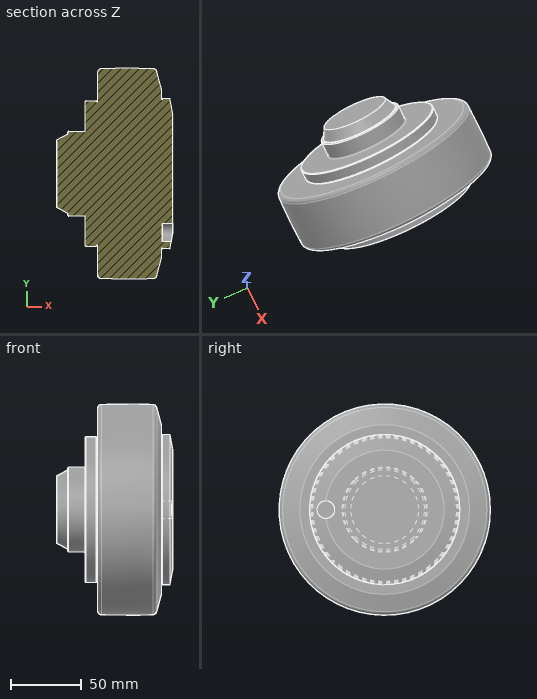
import cadquery as cq

cone_end = 7.7
flange_start = 20.0
rim_start = 28.8
rim_corner_end = 70.0
rim_end = 73.9
cap_cone_start = 79.9
overall_length = 82.0

shaft_radius = 60.0 / 2
cone_tip_radius = 23.8
cone_base_radius = 28.0
shaft_edge_break = 0.7
shaft_root_fillet = 0.5

neck_width = 0.3

flange_radius = 103.0 / 2
flange_chamfer = 0.6
flange_neck_radius = 101.2 / 2

crown_radius = 74.5
rim_edge_radius = 74.0
rim_face_radius = 59.7
rim_fillet = 3.0

cap_radius = 106.0 / 2
cap_face_radius = 41.9
cap_chamfer = 0.5
cap_neck_radius = 103.5 / 2

hole_diameter = 12.4
hole_offset = 41.4
hole_depth = 7.5


def revolve_about_x(profile):
    """Close a half profile drawn in XY and turn it about the X axis."""
    return profile.close().revolve(360, (0, 0, 0), (1, 0, 0))


def make_shaft():
    """Shaft with a conical tip, a broken shoulder edge and a filleted root."""
    return revolve_about_x(
        cq.Workplane("XY")
        .moveTo(0, 0)
        .lineTo(0, cone_tip_radius)
        .lineTo(cone_end, cone_base_radius)
        .lineTo(cone_end, shaft_radius - shaft_edge_break)
        .lineTo(cone_end + shaft_edge_break, shaft_radius)
        .lineTo(flange_start - shaft_root_fillet, shaft_radius)
        .tangentArcPoint((flange_start, shaft_radius + shaft_root_fillet), relative=False)
        .lineTo(flange_start, 0)
    )


def make_flange():
    """Disc with both edges chamfered, joined to the rim by a narrow neck."""
    flange_width = rim_start - neck_width - flange_start
    return (
        cq.Workplane("YZ", origin=(flange_start, 0, 0))
        .circle(flange_radius)
        .extrude(flange_width)
        .faces("<X or >X")
        .edges()
        .chamfer(flange_chamfer)
        .faces(">X")
        .workplane()
        .circle(flange_neck_radius)
        .extrude(neck_width)
    )


def make_rim():
    """Crowned rim with both outer corners rounded and a conical far shoulder."""
    crown_x = (rim_start + rim_corner_end) / 2
    rim = revolve_about_x(
        cq.Workplane("XY")
        .moveTo(rim_start, 0)
        .lineTo(rim_start, rim_edge_radius)
        .threePointArc((crown_x, crown_radius), (rim_corner_end, rim_edge_radius))
        .lineTo(rim_end, rim_face_radius)
        .lineTo(rim_end, 0)
    )
    return rim.edges(cq.selectors.RadiusNthSelector(-2)).fillet(rim_fillet)


def make_cap():
    """Disc with a conical outer face, joined to the rim by a narrow neck."""
    cap_start = rim_end + neck_width
    return revolve_about_x(
        cq.Workplane("XY")
        .moveTo(rim_end, 0)
        .lineTo(rim_end, cap_neck_radius)
        .lineTo(cap_start, cap_neck_radius)
        .lineTo(cap_start, cap_radius - cap_chamfer)
        .lineTo(cap_start + cap_chamfer, cap_radius)
        .lineTo(cap_cone_start, cap_radius)
        .lineTo(overall_length, cap_face_radius)
        .lineTo(overall_length, 0)
    )


def make_cap_hole():
    """Blind axial hole that breaks through the conical edge of the cap on the -Y side."""
    return (
        cq.Workplane("YZ", origin=(overall_length - hole_depth, 0, 0))
        .center(-hole_offset, 0)
        .circle(hole_diameter / 2)
        .extrude(hole_depth)
    )


result = (
    make_shaft()
    .union(make_flange())
    .union(make_rim())
    .union(make_cap())
    .cut(make_cap_hole())
)